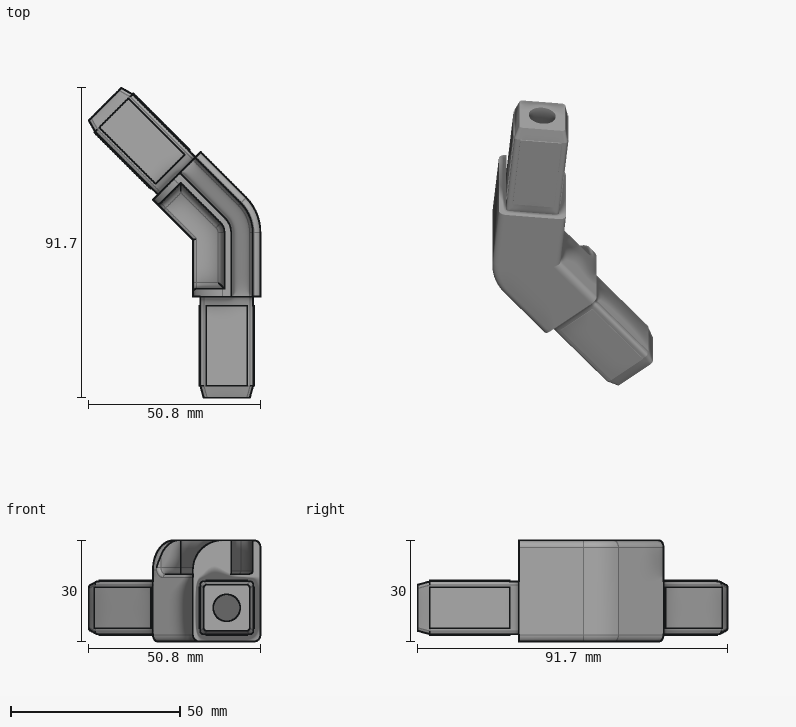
import cadquery as cq
import math

BEND = 45.0

hub_width = 20.0
hub_height = 30.0
limb_length = 50.9
plug_length = 30.0
bend_radius = 14.7
edge_radius = 2.0
shoulder_radius = 8.7
half_width = hub_width / 2
hub_reach = limb_length - plug_length
bend_centre = half_width - bend_radius

cut_depth = 10.0
cut_floor = hub_height - cut_depth
outer_wall = 2.3
slot_width = 6.4
slot_fillet = 1.0
mid_wall = 1.9
end_wall = 2.3
pocket_fillet = 2.0
pocket_lip = 1.0
slot_outer = half_width - outer_wall
slot_inner = slot_outer - slot_width
pocket_outer = slot_inner - mid_wall

plug_width = 15.7
plug_corner = 1.0
plug_axis_height = half_width
tip_width = 13.7
tip_length = 3.7
pad_width = 12.2
pad_rise = 0.32
pad_setback = 2.75
hole_diameter = 8.0
hole_depth = plug_length

OVERCUT = 4.6
half_bend = math.radians(BEND / 2)
bend_start = -bend_centre * math.tan(half_bend)


def plan_point(limb, along, across):
    """Plan position at a distance along a limb and across it, positive to the outer side."""
    if limb == 1:
        return (across, -along)
    turn = math.radians(BEND)
    return (
        across * math.cos(turn) - along * math.sin(turn),
        across * math.sin(turn) + along * math.cos(turn),
    )


def bend_middle(across):
    """Midpoint in plan of the arc that carries an offset line round the bend."""
    radius = across - bend_centre
    centre_x, centre_y = plan_point(1, bend_start, bend_centre)
    return (centre_x + radius * math.cos(half_bend), centre_y + radius * math.sin(half_bend))


def bent_strip(inner, outer, reach, bottom, top):
    """Prism that follows the elbow between two offsets from the limb axes."""
    outline = (
        cq.Workplane("XY", origin=(0, 0, bottom))
        .moveTo(*plan_point(1, reach, outer))
        .lineTo(*plan_point(1, bend_start, outer))
        .threePointArc(bend_middle(outer), plan_point(2, bend_start, outer))
        .lineTo(*plan_point(2, reach, outer))
        .lineTo(*plan_point(2, reach, inner))
    )
    if inner > bend_centre:
        outline = outline.lineTo(*plan_point(2, bend_start, inner)).threePointArc(
            bend_middle(inner), plan_point(1, bend_start, inner)
        )
    else:
        corner = -inner * math.tan(half_bend)
        outline = outline.lineTo(*plan_point(1, corner, inner))
    return outline.lineTo(*plan_point(1, reach, inner)).close().extrude(top - bottom)


def long_edge(body, limb, across, height):
    """The edge of a strip along one limb; a smooth run of edges is rounded together with it."""
    x, y = plan_point(limb, hub_reach / 2, across)
    return body.edges(cq.NearestToPointSelector((x, y, height)))


def inner_edges(body, height):
    """Both limbs' edges on the inner face of the hub, which meet at a sharp corner."""
    first = long_edge(body, 1, -half_width, height)
    return first.add(long_edge(body, 2, -half_width, height))


def hub_envelope():
    """Elbow block with its long outer edges rounded."""
    body = bent_strip(-half_width, half_width, hub_reach, 0, hub_height)
    for height in (0, hub_height):
        body = long_edge(body, 1, half_width, height).fillet(edge_radius)
    for height, radius in ((0, edge_radius), (hub_height, shoulder_radius)):
        body = inner_edges(body, height).fillet(radius)
    return body


def pocketed_block():
    """Square-edged elbow block with the pocket open to the inner side, its lip rounded."""
    block = bent_strip(-half_width, half_width, hub_reach, 0, hub_height)
    pocket = bent_strip(
        -half_width - OVERCUT, pocket_outer, hub_reach - end_wall, cut_floor, hub_height + OVERCUT
    )
    pocket = pocket.faces("<Z").edges().fillet(pocket_fillet)
    block = block.cut(pocket)
    return inner_edges(block, cut_floor).fillet(pocket_lip)


def slot():
    """Channel along the outer side of the elbow, rounded at the foot of its outer wall."""
    body = bent_strip(
        slot_inner, slot_outer, hub_reach + OVERCUT, cut_floor, hub_height + OVERCUT
    )
    return long_edge(body, 1, slot_outer, cut_floor).fillet(slot_fillet)


def rounded_square(width):
    return cq.Sketch().rect(width, width).vertices().fillet(plug_corner)


def plug_section(along):
    """Workplane across limb 1, facing its tip and centred on the plug axis."""
    origin = (0, -along, plug_axis_height)
    return cq.Workplane(cq.Plane(origin=origin, xDir=(1, 0, 0), normal=(0, -1, 0)))


def plug():
    """Plug of limb 1: square bar with a tapered tip, four gripping pads and a blind hole."""
    tip_start = limb_length - tip_length
    body_outline = rounded_square(plug_width)
    tip_outline = rounded_square(tip_width).moved(cq.Location(cq.Vector(0, 0, tip_length)))

    body = plug_section(0).placeSketch(body_outline).extrude(tip_start)
    body = body.union(plug_section(tip_start).placeSketch(body_outline, tip_outline).loft())

    pad_start = hub_reach + pad_setback
    pad_span = plug_width + 2 * pad_rise
    for size in ((pad_span, pad_width), (pad_width, pad_span)):
        body = body.union(plug_section(pad_start).rect(*size).extrude(tip_start - pad_start))

    hole = plug_section(limb_length).circle(hole_diameter / 2).extrude(-hole_depth)
    return body.cut(hole)


hub = pocketed_block().intersect(hub_envelope()).cut(slot())
first_plug = plug()
second_plug = first_plug.rotate((0, 0, 0), (0, 0, 1), 180 + BEND)
result = hub.union(first_plug).union(second_plug)